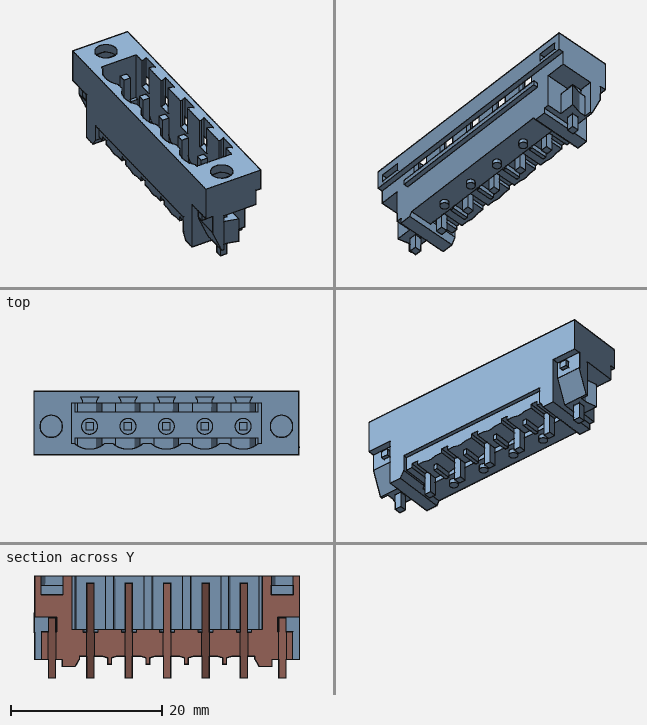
import cadquery as cq
import math


PIN_COUNT = 5
ANCHOR_SPAN = 30.5
PITCH = ANCHOR_SPAN / (PIN_COUNT + 1)
PIN_SIZE = 1.0
PIN_Y = 3.75
PIN_TOP = 11.05
PIN_BOTTOM = -1.5
PIN_XS = [(i - (PIN_COUNT - 1) / 2) * PITCH for i in range(PIN_COUNT)]
MID_XS = [x + PITCH / 2 for x in PIN_XS[:-1]]
ANCHOR_X = ANCHOR_SPAN / 2
PIN_FRONT = PIN_Y - PIN_SIZE / 2
PIN_BACK = PIN_Y + PIN_SIZE / 2

OVERALL_LENGTH = 35.2
LIP_LENGTH = 0.1
HALF_LENGTH = (OVERALL_LENGTH - LIP_LENGTH) / 2
TOP = 12.0
DEPTH = 8.4
BODY_DEPTH = 7.67
BACK_STEP_Z = 8.87
HEAD_BOTTOM = 6.55
LEG_OUTER_X = 13.9
LEG_REAR_OUTER_X = 14.65

CAVITY_HALF_LENGTH = 12.55
CAVITY_FRONT = 1.5
CAVITY_BACK = 6.83
SCALLOP_RADIUS = 3.03
LEDGE_Z = 4.93
TROUGH_FLOOR_Z = 3.52
TROUGH_HALF_LENGTH = 12.1
LEDGE_FRONT = 2.25
LEDGE_BACK = 5.63
HUMP_HALF_WIDTH = 1.62
HUMP_ARC_HALF_WIDTH = 1.25
HUMP_FLANK_ANGLE = 55
PIN_RECESS_RADIUS = 1.05
PIN_RECESS_DEPTH = 0.35

SLOT_BACK = BODY_DEPTH
SLOT_NECK_Y = 7.15
SLOT_BACK_WIDTH = 2.43
SLOT_NECK_WIDTH = 1.85
SLOT_BOTTOM = 7.75

HOLE_RADIUS = 1.48
HOLE_DEPTH = 1.25
NUT_WIDTH = 2.9
NUT_HEIGHT = 1.2

RECESS_HALF_LENGTH = 11.58
RECESS_DEPTH = 0.55
RECESS_TOP = 3.5
FOOT_HALF_GAP = 12.18
CHAMFER_HEIGHT = 1.02
FRONT_BOTTOM = 1.37
REAR_BOTTOM = 0.65
NOTCH_TOP = 2.0
RIDGE_BOTTOM = 1.15
RIDGE_FLANK_WIDTH = 0.75
RIB_WIDTH = 0.53
RIB_BOTTOM = 0.3
RIB_FRONT = 1.75
BOSS_RADIUS = 0.6
BOSS_Y = 5.63

TAB_FRONT = 0.95
TAB_BACK = 2.75
TAB_TOP = 7.08
TAB_SLOPE_TOP = 4.5
TAB_BOTTOM = 0.9
TAB_FOOT_FRONT = 2.43
BLOCK_TOP = 4.65
BLOCK_SHOULDER_Y = 3.7
BLOCK_BACK = 5.4
BLOCK_SHOULDER_INSET = 1.02
BLOCK_BACK_INSET = 0.6
LIP_THICKNESS = 0.1

ANCHOR_TOP = 6.45
ANCHOR_TIP_Y = 0.42

RAIL_BACK = 8.35
RAIL_BOTTOM = 5.9
RAIL_TOP = 6.7


def box(x_range, y_range, z_range):
    """Box between two limits on each axis."""
    lows, highs = zip(x_range, y_range, z_range)
    sizes = [high - low for low, high in zip(lows, highs)]
    return cq.Workplane("XY").box(*sizes, centered=False).translate(lows)


def along_y(outline, y_start, y_end):
    """Extrude an (x, z) outline from y_start to y_end."""
    plane = cq.Workplane("XZ", origin=(0, y_start, 0))
    return plane.polyline(outline).close().extrude(y_start - y_end)


def disc(x, y, radius, z_bottom, z_top):
    """Vertical cylinder."""
    return cq.Workplane("XY", origin=(x, y, z_bottom)).circle(radius).extrude(z_top - z_bottom)


def both_ends(shape):
    """The shape and its mirror image at the other end."""
    return [shape, shape.mirror("YZ")]


def make_contact_pin(x):
    half = PIN_SIZE / 2
    return box((x - half, x + half), (PIN_FRONT, PIN_BACK), (PIN_BOTTOM, PIN_TOP))


def make_anchor_pin(x):
    """Vertical leg with an arm bent forward at its top."""
    half = PIN_SIZE / 2
    sides = (x - half, x + half)
    leg = box(sides, (PIN_FRONT, PIN_BACK), (PIN_BOTTOM, ANCHOR_TOP))
    arm = box(sides, (ANCHOR_TIP_Y, PIN_BACK), (ANCHOR_TOP - PIN_SIZE, ANCHOR_TOP))
    return leg.union(arm)


def make_shell():
    """Wide stepped head over a narrower core, with a rail on the back."""
    full = (-HALF_LENGTH, HALF_LENGTH)
    core = (-LEG_OUTER_X, LEG_OUTER_X)
    rear_core = (-LEG_REAR_OUTER_X, LEG_REAR_OUTER_X)
    shell = box(full, (0, BODY_DEPTH), (HEAD_BOTTOM, TOP))
    shell = shell.union(box(full, (0, DEPTH), (BACK_STEP_Z, TOP)))
    shell = shell.union(box(core, (0, BODY_DEPTH), (0, HEAD_BOTTOM)))
    shell = shell.union(box(rear_core, (TAB_BACK, BODY_DEPTH), (TAB_BOTTOM, HEAD_BOTTOM)))
    rail = (-CAVITY_HALF_LENGTH, CAVITY_HALF_LENGTH)
    return shell.union(box(rail, (BODY_DEPTH, RAIL_BACK), (RAIL_BOTTOM, RAIL_TOP)))


def gap_between_legs(ceiling):
    """Outline of the opening between the chamfered legs, up to a ceiling height."""
    chamfer_run = FOOT_HALF_GAP - RECESS_HALF_LENGTH
    chamfer_top = min(ceiling, CHAMFER_HEIGHT)
    chamfer_x = FOOT_HALF_GAP - chamfer_run * chamfer_top / CHAMFER_HEIGHT
    right = [(FOOT_HALF_GAP, 0), (chamfer_x, chamfer_top)]
    if ceiling > chamfer_top:
        right.append((RECESS_HALF_LENGTH, ceiling))
    return right + [(-x, z) for x, z in reversed(right)]


def shape_underside(housing):
    housing = housing.cut(along_y(gap_between_legs(RECESS_TOP), 0, RECESS_DEPTH))
    housing = housing.cut(along_y(gap_between_legs(FRONT_BOTTOM), RECESS_DEPTH, PIN_BACK))
    housing = housing.cut(along_y(gap_between_legs(REAR_BOTTOM), PIN_BACK, BODY_DEPTH))
    half_pin = PIN_SIZE / 2
    for x in PIN_XS:
        housing = housing.cut(box((x - half_pin, x + half_pin), (RECESS_DEPTH, PIN_BACK), (0, NOTCH_TOP)))
    for x in MID_XS:
        ridge_half_base = RIB_WIDTH / 2 + RIDGE_FLANK_WIDTH
        ridge = [
            (x - ridge_half_base, FRONT_BOTTOM),
            (x - RIB_WIDTH / 2, RIDGE_BOTTOM),
            (x + RIB_WIDTH / 2, RIDGE_BOTTOM),
            (x + ridge_half_base, FRONT_BOTTOM),
        ]
        housing = housing.union(along_y(ridge, RECESS_DEPTH, PIN_BACK))
        rib_sides = (x - RIB_WIDTH / 2, x + RIB_WIDTH / 2)
        housing = housing.union(box(rib_sides, (RIB_FRONT, PIN_BACK), (RIB_BOTTOM, FRONT_BOTTOM)))
        housing = housing.union(disc(x, BOSS_Y, BOSS_RADIUS, 0, REAR_BOTTOM))
    return housing


def cavity_prism(z_bottom, z_top):
    """Prism of the cavity plan: a rectangle with a round scallop in front of each pin."""
    sides = (-CAVITY_HALF_LENGTH, CAVITY_HALF_LENGTH)
    prism = box(sides, (CAVITY_FRONT, CAVITY_BACK), (z_bottom, z_top))
    front_zone = box(sides, (0, CAVITY_BACK), (z_bottom, z_top))
    for x in PIN_XS:
        prism = prism.union(disc(x, PIN_Y, SCALLOP_RADIUS, z_bottom, z_top).intersect(front_zone))
    return prism


def make_hump(x):
    """Rounded ridge with steep flat flanks on the trough floor, running along Y."""
    flank = math.radians(HUMP_FLANK_ANGLE)
    shoulder_z = TROUGH_FLOOR_Z + (HUMP_HALF_WIDTH - HUMP_ARC_HALF_WIDTH) * math.tan(flank)
    crown_z = shoulder_z + HUMP_ARC_HALF_WIDTH * math.tan(flank / 2)
    return (
        cq.Workplane("XZ")
        .moveTo(x - HUMP_HALF_WIDTH, TROUGH_FLOOR_Z)
        .lineTo(x - HUMP_ARC_HALF_WIDTH, shoulder_z)
        .threePointArc((x, crown_z), (x + HUMP_ARC_HALF_WIDTH, shoulder_z))
        .lineTo(x + HUMP_HALF_WIDTH, TROUGH_FLOOR_Z)
        .close()
        .extrude(-DEPTH)
    )


def cut_cavity(housing):
    """Main cavity down to the pin ledge, with a deeper trough in front of and behind it."""
    housing = housing.cut(cavity_prism(LEDGE_Z, TOP))
    sides = (-TROUGH_HALF_LENGTH, TROUGH_HALF_LENGTH)
    heights = (TROUGH_FLOOR_Z, LEDGE_Z)
    troughs = box(sides, (0, LEDGE_FRONT), heights).union(box(sides, (LEDGE_BACK, DEPTH), heights))
    troughs = troughs.intersect(cavity_prism(*heights))
    for x in PIN_XS:
        troughs = troughs.cut(make_hump(x))
        housing = housing.cut(disc(x, PIN_Y, PIN_RECESS_RADIUS, LEDGE_Z - PIN_RECESS_DEPTH, LEDGE_Z))
    return housing.cut(troughs)


def make_dovetail_slot(x):
    """Slot that widens toward the back and breaks out below the back step."""
    back = SLOT_BACK_WIDTH / 2
    neck = SLOT_NECK_WIDTH / 2
    outline = [
        (x - neck, CAVITY_BACK),
        (x - neck, SLOT_NECK_Y),
        (x - back, SLOT_BACK),
        (x + back, SLOT_BACK),
        (x + neck, SLOT_NECK_Y),
        (x + neck, CAVITY_BACK),
    ]
    plane = cq.Workplane("XY", origin=(0, 0, SLOT_BOTTOM))
    return plane.polyline(outline).close().extrude(TOP - SLOT_BOTTOM)


def make_mounting_void():
    """Round hole over a nut pocket that is open to the back."""
    pocket_top = TOP - HOLE_DEPTH
    hole = disc(ANCHOR_X, PIN_Y, HOLE_RADIUS, pocket_top, TOP)
    half = NUT_WIDTH / 2
    sides = (ANCHOR_X - half, ANCHOR_X + half)
    return hole.union(box(sides, (PIN_Y - half, DEPTH), (pocket_top - NUT_HEIGHT, pocket_top)))


def make_end_support():
    """Front tab with a sloped face, and a block with a slanted side behind it."""
    tab_outline = [
        (TAB_FRONT, TAB_TOP),
        (TAB_FRONT, TAB_SLOPE_TOP),
        (TAB_FOOT_FRONT, TAB_BOTTOM),
        (TAB_BACK, TAB_BOTTOM),
        (TAB_BACK, TAB_TOP),
    ]
    tab_plane = cq.Workplane("YZ", origin=(LEG_OUTER_X, 0, 0))
    tab = tab_plane.polyline(tab_outline).close().extrude(HALF_LENGTH - LEG_OUTER_X)
    block_outline = [
        (LEG_OUTER_X, TAB_BACK),
        (HALF_LENGTH - BLOCK_SHOULDER_INSET, TAB_BACK),
        (HALF_LENGTH - BLOCK_SHOULDER_INSET, BLOCK_SHOULDER_Y),
        (HALF_LENGTH - BLOCK_BACK_INSET, BLOCK_BACK),
        (LEG_OUTER_X, BLOCK_BACK),
    ]
    block_plane = cq.Workplane("XY", origin=(0, 0, TAB_BOTTOM))
    return tab.union(block_plane.polyline(block_outline).close().extrude(BLOCK_TOP - TAB_BOTTOM))


def make_end_lip():
    """Thin lip at the front edge of the right-hand tab."""
    return box(
        (HALF_LENGTH, HALF_LENGTH + LIP_LENGTH),
        (TAB_FRONT, TAB_FRONT + LIP_THICKNESS),
        (TAB_SLOPE_TOP, TAB_TOP),
    )


def make_housing(pins):
    housing = shape_underside(make_shell())
    under_head = box((LEG_OUTER_X, HALF_LENGTH), (0, TAB_FRONT), (0, TAB_TOP))
    for void in both_ends(under_head):
        housing = housing.cut(void)
    for support in both_ends(make_end_support()):
        housing = housing.union(support)
    housing = housing.union(make_end_lip())
    housing = cut_cavity(housing)
    for x in PIN_XS:
        housing = housing.cut(make_dovetail_slot(x))
    for void in both_ends(make_mounting_void()):
        housing = housing.cut(void)
    for pin in pins:
        housing = housing.cut(pin)
    return housing


contact_pins = [make_contact_pin(x) for x in PIN_XS]
anchor_pins = [make_anchor_pin(x) for x in (-ANCHOR_X, ANCHOR_X)]
pins = contact_pins + anchor_pins
housing = make_housing(pins)

result = cq.Compound.makeCompound([housing.solids().val(), *[pin.solids().val() for pin in pins]])